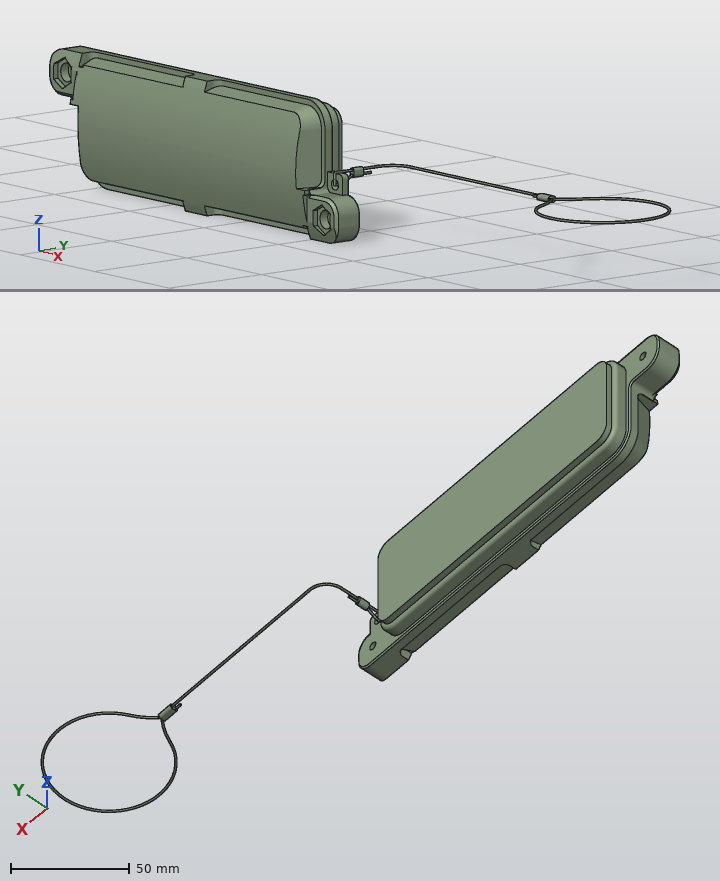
import cadquery as cq
import math

ear_reach = 18.0
body_length = 157.0
height = 58.0
overall_length = body_length + 2 * ear_reach
body_right = ear_reach + body_length
center_x = overall_length / 2
center_z = height / 2
flange_back = 16.0
body_corner = 11.5
back_chamfer = 0.7
front_sagitta = 5.2

recess_depth = 2.5
recess_back = 11.5
recess_taper = 15.0
recess_end_round = 3.0
bridge_width = 14.5
recess_top = 36.3
root_width = 5.5
recess_start = 20.2

seal_inset = 2.5
seal_back = 22.0
seal_round = 1.7
cover_inset = 5.0
cover_back = 24.8

ear_height = 19.5
ear_front = 2.8
ear_corner = 7.5
ear_chamfer = 1.5
ear_overlap = 1.7
ear_step_x = 19.5
ear_hole_x = 9.8
ear_fillet = 2.5
screw_hole = 4.0
hex_flats = 11.5
hex_depth = 2.5
counterbore = 8.0
counterbore_depth = 4.2

tab_right = 185.0
tab_top = 28.2
tab_front = 13.0
tab_corner = 2.0
tab_hole_x = 180.0
tab_hole_z = 23.5
tab_hole = 4.5

cord_radius = 0.52
cord_z = 28.5
cord_x = 180.3
cord_bend = 9.5
strand_gap = 2.0
tether_right = 348.7
tether_back = 73.5
ring_radius = 28.2
ring_y = tether_back - cord_radius - ring_radius
cord_y = ring_y + strand_gap / 2
ring_opening = 24.0
neck_x = 287.0
ring_tail_x = 275.0
ring_crimp_start = 278.3
ring_crimp_length = 7.5
tab_tail_y = 32.0
tab_crimp_start = 22.0
tab_crimp_length = 5.2
crimp_width = 4.2
crimp_grip = 1.7
crimp_thickness = 2.8
eps = 3.5


def block(x0, x1, y0, y1, z0, z1):
    return cq.Workplane("XY").box(x1 - x0, y1 - y0, z1 - z0, centered=False).translate((x0, y0, z0))


def half_turn(shape):
    """Turn a shape by 180 degrees about the Y axis through the housing center."""
    return shape.rotate((center_x, 0, center_z), (center_x, 1, center_z), 180)


def inset_plate(inset, y0, y1):
    return block(ear_reach + inset, body_right - inset, y0, y1, inset, height - inset)


def round_free_corners(plate, radius):
    """Round the two corners that carry no ear: bottom left and top right."""
    return plate.edges("|Y").edges("(<X and <Z) or (>X and >Z)").fillet(radius)


def front_envelope():
    """Space behind the bulged front surface."""
    return (
        cq.Workplane("YZ")
        .moveTo(flange_back, 0)
        .lineTo(front_sagitta, 0)
        .threePointArc((0, center_z), (front_sagitta, height))
        .lineTo(flange_back, height)
        .close()
        .extrude(overall_length)
    )


def recess_core():
    """Tapered body left standing inside the recess."""
    width = body_length - 2 * recess_depth
    tall = height - 2 * recess_depth
    return (
        cq.Workplane("XZ", origin=(center_x, recess_back, center_z))
        .sketch()
        .rect(width, tall)
        .vertices("(<X and <Y) or (>X and >Y)")
        .fillet(body_corner - recess_depth)
        .finalize()
        .extrude(recess_back + eps, taper=recess_taper)
    )


def recess_stop(plane, start, end, length):
    """Bar across the recess from start to end, flared with round corners at the recess back.

    The local y axis of the plane must point along +Y.
    """
    flare = recess_end_round
    bend_y = recess_back - flare
    arc_shift = flare * (1 - math.sqrt(0.5))
    return (
        cq.Workplane(plane)
        .moveTo(start, -eps)
        .lineTo(start, bend_y)
        .threePointArc((start - arc_shift, recess_back - arc_shift), (start - flare, recess_back))
        .lineTo(end + flare, recess_back)
        .threePointArc((end + arc_shift, recess_back - arc_shift), (end, bend_y))
        .lineTo(end, -eps)
        .close()
        .extrude(length)
    )


def ear_root():
    """Part of the body that stays solid beside the left ear, with both recess ends."""
    inner_x = ear_reach + root_width
    core = block(0, inner_x, -eps, recess_back, recess_top, height - root_width)
    across_x = cq.Plane(origin=(0, 0, recess_top), xDir=(1, 0, 0), normal=(0, 0, 1))
    across_z = cq.Plane(origin=(inner_x, 0, 0), xDir=(0, 0, 1), normal=(-1, 0, 0))
    top_end = recess_stop(across_x, 0, recess_start, height - recess_top)
    side_end = recess_stop(across_z, recess_top, recess_top + recess_end_round, inner_x)
    return core.union(top_end).union(side_end)


def recess_cutter():
    ring = inset_plate(-eps, -eps, recess_back).cut(recess_core())
    half_bridge = bridge_width / 2
    ring = ring.cut(recess_stop(cq.Plane.XY(), center_x - half_bridge, center_x + half_bridge, height))
    return ring.cut(ear_root()).cut(half_turn(ear_root()))


def ear():
    """Left mounting ear with the fillet below its root."""
    ear_bottom = height - ear_height
    plate = block(0, ear_reach + ear_overlap, ear_front, flange_back, ear_bottom, height)
    plate = plate.edges("|Y and <X").fillet(ear_corner)
    plate = plate.faces("<Y").edges("not >X").chamfer(ear_chamfer)
    arc_shift = ear_fillet * (1 - math.sqrt(0.5))
    root = (
        cq.Workplane("XZ", origin=(0, ear_front, 0))
        .moveTo(ear_reach - ear_fillet, ear_bottom)
        .threePointArc((ear_reach - arc_shift, ear_bottom - arc_shift), (ear_reach, ear_bottom - ear_fillet))
        .lineTo(ear_reach, ear_bottom)
        .close()
        .extrude(ear_front - flange_back)
    )
    return plate.union(root)


def screw_cutter():
    """Through hole with a counterbore below a hexagonal pocket."""
    hex_floor = ear_front + hex_depth
    hole = cq.Workplane("XZ").circle(screw_hole / 2).extrude(-(flange_back + eps))
    bore = cq.Workplane("XZ").circle(counterbore / 2).extrude(-(hex_floor + counterbore_depth))
    pocket = cq.Workplane("XZ").polygon(6, hex_flats, circumscribed=True).extrude(-hex_floor)
    return hole.union(bore).union(pocket).translate((ear_hole_x, 0, height - ear_height / 2))


def tether_tab():
    plate = block(body_right - eps, tab_right, tab_front, flange_back, ear_height - eps, tab_top)
    plate = plate.edges("|Y and >X and >Z").fillet(tab_corner)
    hole = (
        cq.Workplane("XZ", origin=(tab_hole_x, tab_front - eps, tab_hole_z))
        .circle(tab_hole / 2)
        .extrude(-(flange_back - tab_front + 2 * eps))
    )
    return plate.cut(hole)


def housing():
    body = round_free_corners(inset_plate(0, 0, flange_back), body_corner)
    body = body.cut(recess_cutter())
    step = block(-eps, ear_step_x, -eps, ear_front, height - ear_height, height + eps)
    body = body.cut(step).cut(half_turn(step))
    body = body.union(ear()).union(half_turn(ear()))
    body = body.faces(">Y").edges().chamfer(back_chamfer)
    body = body.intersect(front_envelope())
    body = body.cut(screw_cutter()).cut(half_turn(screw_cutter()))
    seal = inset_plate(seal_inset, flange_back, seal_back).edges("|Y").fillet(body_corner - seal_inset)
    seal = seal.faces(">Y").edges().fillet(seal_round)
    cover = inset_plate(cover_inset, flange_back, cover_back).edges("|Y").fillet(body_corner - cover_inset)
    return body.union(seal).union(cover).union(tether_tab())


def cord(path, start, direction):
    profile = cq.Workplane(cq.Plane(origin=start, normal=direction)).circle(cord_radius)
    return profile.sweep(path, transition="round")


def crimp(start, direction, wide_axis, length):
    """Oval sleeve pressed around two strands."""
    plane = cq.Plane(origin=start, xDir=wide_axis, normal=direction)
    return cq.Workplane(plane).slot2D(crimp_width, crimp_thickness).extrude(length)


def tab_loop():
    """Cord end: from its tail, through the tab hole, over the tab and into the run."""
    tail_z = cord_z - strand_gap
    wrap_y = tab_front - cord_radius / 2
    path = (
        cq.Workplane("YZ", origin=(cord_x, 0, 0))
        .moveTo(tab_tail_y, tail_z)
        .lineTo(tab_crimp_start, tail_z)
        .lineTo(flange_back, tab_hole_z)
        .lineTo(wrap_y, tab_hole_z)
        .lineTo(wrap_y, cord_z)
        .lineTo(tab_crimp_start + crimp_grip, cord_z)
    )
    return cord(path, (cord_x, tab_tail_y, tail_z), (0, -1, 0))


def cord_run():
    """Cord from the tab crimp, round one bend, to the ring crimp."""
    arc_shift = cord_bend * (1 - math.sqrt(0.5))
    start_y = tab_crimp_start + tab_crimp_length - crimp_grip
    path = (
        cq.Workplane("XY", origin=(0, 0, cord_z))
        .moveTo(cord_x, start_y)
        .lineTo(cord_x, cord_y - cord_bend)
        .threePointArc((cord_x + arc_shift, cord_y - arc_shift), (cord_x + cord_bend, cord_y))
        .lineTo(ring_crimp_start + crimp_grip, cord_y)
    )
    return cord(path, (cord_x, start_y, cord_z), (0, 1, 0))


def ring():
    """Cord ring whose two ends flare together into the ring crimp."""
    ring_x = tether_right - cord_radius - ring_radius
    opening = math.radians(ring_opening)
    out_x = -math.cos(opening)
    out_y = math.sin(opening)
    half_gap = strand_gap / 2
    touch_x = ring_x + ring_radius * out_x
    touch_y = ring_radius * out_y
    dx = touch_x - neck_x
    dy = touch_y - half_gap
    neck_radius = -(dx**2 + dy**2) / (2 * (dx * out_x + dy * out_y))
    center_distance = ring_radius + neck_radius
    neck_center_x = ring_x + center_distance * out_x
    neck_center_y = center_distance * out_y
    chord_x = (touch_x + neck_x) / 2 - neck_center_x
    chord_y = (touch_y + half_gap) / 2 - neck_center_y
    stretch = neck_radius / math.hypot(chord_x, chord_y)
    mid_x = neck_center_x + stretch * chord_x
    mid_y = neck_center_y + stretch * chord_y
    path = (
        cq.Workplane("XY", origin=(0, ring_y, cord_z))
        .moveTo(ring_tail_x, -half_gap)
        .lineTo(neck_x, -half_gap)
        .threePointArc((mid_x, -mid_y), (touch_x, -touch_y))
        .threePointArc((ring_x + ring_radius, 0), (touch_x, touch_y))
        .threePointArc((mid_x, mid_y), (neck_x, half_gap))
        .lineTo(ring_crimp_start + ring_crimp_length - crimp_grip, half_gap)
    )
    loop = cord(path, (ring_tail_x, ring_y - half_gap, cord_z), (1, 0, 0))
    sleeve = crimp((ring_crimp_start, ring_y, cord_z), (1, 0, 0), (0, 1, 0), ring_crimp_length)
    return loop.union(sleeve)


tab_crimp = crimp((cord_x, tab_crimp_start, cord_z - strand_gap / 2), (0, 1, 0), (0, 0, 1), tab_crimp_length)
tether = tab_loop().union(tab_crimp).union(cord_run()).union(ring())
result = housing().union(tether)